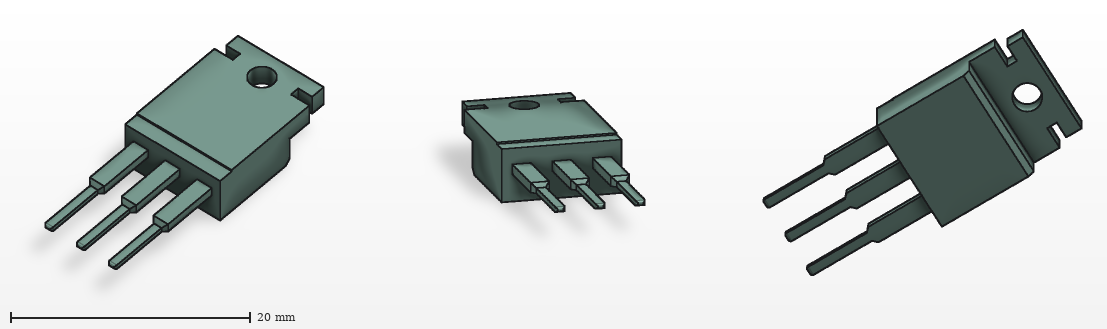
import cadquery as cq

overall_length = 26.0
body_width = 10.4
body_length = 14.0
body_height = 4.8
back_y = overall_length / 2
front_y = back_y - body_length
top_z = body_height / 2
bottom_z = -body_height / 2

tab_thickness = 2.0
tab_length = 4.97
bevel_length = 0.55
bevel_height = 0.5
front_step_length = 1.5
front_step_depth = 0.15

tab_head_width = 9.4
tab_head_length = 1.5
tab_neck_width = 6.37
shoulder_offset = 2.45
hole_diameter = 2.5
hole_offset = shoulder_offset

lead_count = 3
lead_pitch = 3.48
lead_width = 1.6
lead_height = 0.85
lead_top_depth = 1.55
wide_length = 5.65
lead_taper = 0.4
pin_width = lead_width - 2 * lead_taper
pin_height = lead_height - lead_taper
tip_radius = pin_height / 2
lead_bottom_z = top_z - lead_top_depth - lead_height
lead_end_y = -overall_length / 2


def make_body():
    """Extrude the stepped side profile across the package width."""
    tab_bottom_z = top_z - tab_thickness
    block_back_y = back_y - tab_length
    step_y = front_y + front_step_length
    step_z = top_z - front_step_depth
    profile = [
        (back_y, top_z),
        (step_y, top_z),
        (step_y, step_z),
        (front_y, step_z),
        (front_y, bottom_z),
        (block_back_y - bevel_length, bottom_z),
        (block_back_y, bottom_z + bevel_height),
        (block_back_y, tab_bottom_z),
        (back_y, tab_bottom_z),
    ]
    return cq.Workplane("YZ").polyline(profile).close().extrude(body_width / 2, both=True)


def side_cut(side, inner_width, start_offset, end_offset):
    """Block that trims one side of the tab between two distances from its back edge."""
    depth = (body_width - inner_width) / 2
    return cq.Workplane("XY").box(depth, end_offset - start_offset, body_height).translate(
        (side * (inner_width + depth) / 2, back_y - (start_offset + end_offset) / 2, 0)
    )


def cut_tab(body):
    """Narrow the tab head, notch its neck and drill the mounting hole."""
    for side in (-1, 1):
        body = body.cut(side_cut(side, tab_head_width, 0, tab_head_length))
        body = body.cut(side_cut(side, tab_neck_width, tab_head_length, shoulder_offset))
    hole = (
        cq.Workplane("XY")
        .center(0, back_y - hole_offset)
        .circle(hole_diameter / 2)
        .extrude(body_height, both=True)
    )
    return body.cut(hole)


def lead_section(y, width, height):
    """Rectangular lead section at y, resting on the flat lead underside."""
    plane = cq.Workplane("XZ", origin=(0, y, lead_bottom_z + height / 2))
    return plane.rect(width, height)


def make_pin(start_y):
    """Thin pin with a full-round end in height and equally rounded ends in plan."""
    middle_z = lead_bottom_z + tip_radius
    pin_top_z = lead_bottom_z + pin_height
    tip_start_y = lead_end_y + tip_radius
    side_profile = (
        cq.Workplane("YZ")
        .moveTo(start_y, pin_top_z)
        .lineTo(tip_start_y, pin_top_z)
        .threePointArc((lead_end_y, middle_z), (tip_start_y, lead_bottom_z))
        .lineTo(start_y, lead_bottom_z)
        .close()
        .extrude(pin_width / 2, both=True)
    )
    plan_profile = lead_section(start_y, pin_width, pin_height).extrude(start_y - lead_end_y)
    plan_profile = plan_profile.faces("<Y").edges("|Z").fillet(tip_radius)
    return side_profile.intersect(plan_profile)


def make_lead():
    """Wide shank tapering on its top and sides to a thin pin with a rounded tip."""
    taper_y = front_y - wide_length
    pin_y = taper_y - lead_taper
    shank = lead_section(front_y, lead_width, lead_height).extrude(wide_length)
    taper = (
        lead_section(taper_y, lead_width, lead_height)
        .workplane(offset=lead_taper)
        .center(0, (pin_height - lead_height) / 2)
        .rect(pin_width, pin_height)
        .loft(ruled=True)
    )
    pin = make_pin(pin_y)
    return shank.union(taper).union(pin)


result = cut_tab(make_body())
lead = make_lead()
for index in range(lead_count):
    lead_x = (index - (lead_count - 1) / 2) * lead_pitch
    result = result.union(lead.translate((lead_x, 0, 0)))